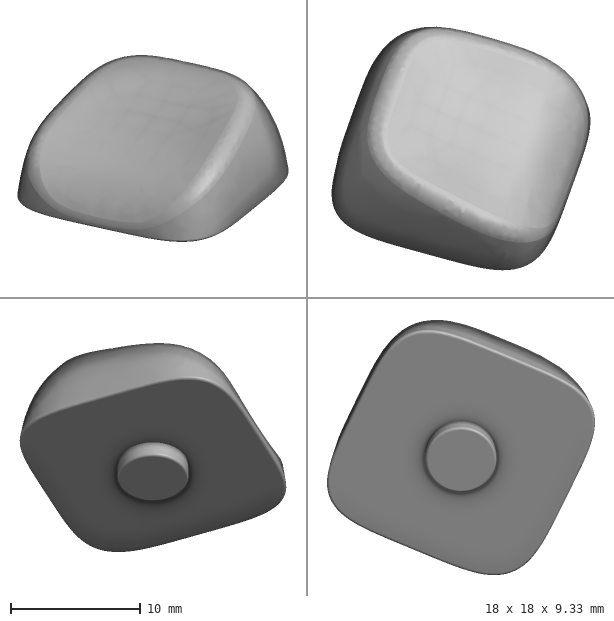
import cadquery as cq
import math

half_width = 9.0
base_squareness = 4.45
top_squareness = 3.4
dome_height = 9.0
wall_lean = 0.0031
wall_curl = 2.6e-5
dome_steps = 4
outline_points = 48

scoop_centre = [(7.5, 9.35), (5.1, 7.93), (2.5, 6.65), (-0.53, 5.56), (-3.5, 4.8),
                (-6.5, 3.55), (-8.3, 1.85), (-9.3, -0.5)]
scoop_side = [(7.5, 9.0), (5.1, 7.98), (2.5, 7.13), (-0.53, 6.25), (-3.5, 5.38),
              (-6.5, 4.06), (-8.3, 2.5), (-9.3, -0.5)]
scoop_side_x = 6.35
scoop_half_span = 10.0
scoop_rows = 25
scoop_columns = 13
cut_height = 15.0

rim_radius = 1.35
base_radius = 0.2

stem_diameter = 5.5
stem_length = 1.3
stem_radius = 0.2


def dome_section(height):
    """Superellipse outline of the walls at one height."""
    half = half_width * (1 - wall_lean * height**2 - wall_curl * height**4)
    below_top = 1 - height / dome_height
    squareness = top_squareness + (base_squareness - top_squareness) * below_top**3
    points = []
    for i in range(outline_points):
        angle = 2 * math.pi * i / outline_points
        spread = abs(math.cos(angle)) ** squareness + abs(math.sin(angle)) ** squareness
        radius = half / spread ** (1 / squareness)
        points.append(cq.Vector(radius * math.cos(angle), radius * math.sin(angle), height))
    return cq.Wire.assembleEdges([cq.Edge.makeSpline(points, periodic=True)])


def make_dome():
    sections = [dome_section(dome_height * i / dome_steps) for i in range(dome_steps + 1)]
    return cq.Solid.makeLoft(sections)


def profile_curve(points):
    return cq.Edge.makeSpline([cq.Vector(0, y, z) for y, z in points])


def make_scoop_cutter():
    """Everything above a surface that rises parabolically from the centre curve to the side curves."""
    centre = profile_curve(scoop_centre)
    side = profile_curve(scoop_side)
    grid = []
    for i in range(scoop_rows):
        along = i / (scoop_rows - 1)
        low = centre.positionAt(along)
        rise = side.positionAt(along) - low
        row = []
        for j in range(scoop_columns):
            x = scoop_half_span * (2 * j / (scoop_columns - 1) - 1)
            row.append(low + rise * (x / scoop_side_x) ** 2 + cq.Vector(x, 0, 0))
        grid.append(row)
    surface = cq.Face.makeSplineApprox(grid, tol=0.01, minDeg=3, maxDeg=5)
    return cq.Solid.extrudeLinear(surface, cq.Vector(0, 0, cut_height))


def make_stem():
    stem = cq.Workplane("XY").circle(stem_diameter / 2).extrude(-stem_length)
    return stem.faces("<Z").edges().fillet(stem_radius)


def make_body():
    """Dome cut by the scoop, with its rim and bottom edge rounded."""
    body = cq.Workplane(obj=make_dome()).cut(cq.Workplane(obj=make_scoop_cutter()))
    body = body.faces(">Z").edges().fillet(rim_radius)
    return body.faces("<Z").edges().fillet(base_radius)


result = make_body().union(make_stem())